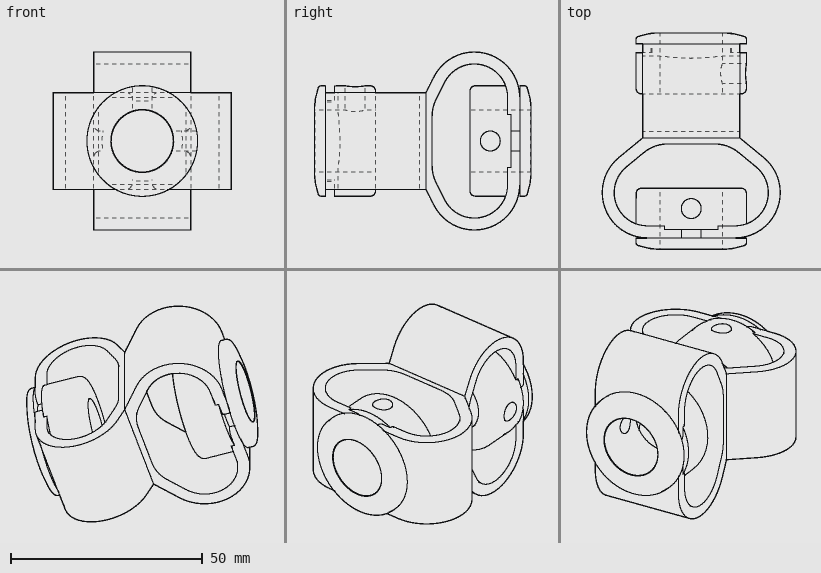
import cadquery as cq
import math

STRAP_WIDTH = 25.3
WALL = 3.175
WEB_HALF = 1.63
LOOP_HALF_SPAN = 23.24
LOBE_RADIUS = 11.84
LOBE_OFFSET = LOOP_HALF_SPAN - LOBE_RADIUS
LONG_LOOP_REACH = 26.14
SHORT_LOOP_REACH = 24.46
WEB_FILLET = 9.8

SEAT_DEPTH = 0.9
MOUTH_HALF_WIDTH = 2.56
MOUTH_FILLET = 1.77

BUSH_RADIUS = 14.43
BODY_LENGTH = 10.75
BODY_FILLET = 1.46
NECK_RADIUS = 10.5
BORE_RADIUS = 8.1
BORE_CHAMFER = 0.12
FLANGE_THICKNESS = 2.93
FLANGE_SLOPE = math.radians(15)
FLANGE_FLAT_RADIUS = 9.07
FLANGE_CREST_RADIUS = 11.5
FLANGE_EDGE_FILLET = 0.8
SCREW_HOLE_DIAMETER = 5.2
SCREW_HOLE_FROM_FLANGE = 7.69

CUT_MARGIN = 1.0
SELECT_MARGIN = 0.01


def slant_normal(corner_x, corner_y, lobe_y, radius):
    """Angle from +X of the outward normal of the slant tangent to the lobe."""
    dx = corner_x - LOBE_OFFSET
    dy = corner_y - lobe_y
    return math.atan2(dy, dx) - math.acos(radius / math.hypot(dx, dy))


def lobe_prism(corner_x, corner_y, lobe_y, radius):
    """Prism across the strap: web flat, tangent slants, round lobes and outer flat."""
    normal = slant_normal(corner_x, corner_y, lobe_y, radius)
    tangent_x = LOBE_OFFSET + radius * math.cos(normal)
    tangent_y = lobe_y + radius * math.sin(normal)
    flat_y = lobe_y - radius
    middle = (normal - math.pi / 2) / 2
    middle_x = LOBE_OFFSET + radius * math.cos(middle)
    middle_y = lobe_y + radius * math.sin(middle)
    return (
        cq.Workplane("XY")
        .workplane(offset=-STRAP_WIDTH / 2)
        .moveTo(-corner_x, corner_y)
        .lineTo(corner_x, corner_y)
        .lineTo(tangent_x, tangent_y)
        .threePointArc((middle_x, middle_y), (LOBE_OFFSET, flat_y))
        .lineTo(-LOBE_OFFSET, flat_y)
        .threePointArc((-middle_x, middle_y), (-tangent_x, tangent_y))
        .close()
        .extrude(STRAP_WIDTH)
    )


def inner_corner_x(lobe_y):
    """Half width of the web's inner flat, where the offset slants meet it."""
    corner_x = STRAP_WIDTH / 2
    normal = slant_normal(corner_x, 0, lobe_y, LOBE_RADIUS)
    return corner_x + (WEB_HALF * math.sin(normal) - WALL) / math.cos(normal)


def y_cylinder(radius, y_start, y_end):
    """Cylinder on the Y axis, running from y_start down to y_end."""
    return cq.Workplane("XZ").workplane(offset=-y_start).circle(radius).extrude(y_start - y_end)


def strap_loop(reach):
    """Bent strap on the -Y side, with the bushing seat and the edge gaps in its outer wall."""
    lobe_y = LOBE_RADIUS - reach
    outer = lobe_prism(STRAP_WIDTH / 2, 0, lobe_y, LOBE_RADIUS)
    inner = lobe_prism(inner_corner_x(lobe_y), -WEB_HALF, lobe_y, LOBE_RADIUS - WALL)
    inner = inner.edges("|Z and >Y").fillet(WEB_FILLET)
    loop = outer.cut(inner)

    wall_inside = WALL - reach
    loop = loop.cut(y_cylinder(BUSH_RADIUS, wall_inside, wall_inside - SEAT_DEPTH))
    gap = cq.Workplane("XY").box(2 * MOUTH_HALF_WIDTH, 2 * WALL, STRAP_WIDTH)
    loop = loop.cut(y_cylinder(NECK_RADIUS, wall_inside, -reach))
    loop = loop.cut(gap.translate((0, -reach, 0)))
    near_mouth = cq.selectors.BoxSelector(
        (-MOUTH_HALF_WIDTH - SELECT_MARGIN, -reach, -STRAP_WIDTH),
        (MOUTH_HALF_WIDTH + SELECT_MARGIN, wall_inside, STRAP_WIDTH),
    )
    mouth_edges = loop.edges(near_mouth).edges("|Y").edges("<Z or >Z")
    return mouth_edges.fillet(MOUTH_FILLET)


def flange(reach):
    """Domed disc: flat ring, rounded crest, sloping face and rounded rim."""
    face = reach + FLANGE_THICKNESS
    crest_run = FLANGE_CREST_RADIUS - FLANGE_FLAT_RADIUS
    crest_radius = crest_run / math.sin(FLANGE_SLOPE)
    half_slope = FLANGE_SLOPE / 2
    crest_middle = (
        FLANGE_FLAT_RADIUS + crest_radius * math.sin(half_slope),
        crest_radius * (1 - math.cos(half_slope)) - face,
    )
    crest_end_y = crest_radius * (1 - math.cos(FLANGE_SLOPE)) - face
    rim_y = crest_end_y + (BUSH_RADIUS - FLANGE_CREST_RADIUS) * math.tan(FLANGE_SLOPE)
    disc = (
        cq.Workplane("XY")
        .moveTo(0, -reach)
        .lineTo(0, -face)
        .lineTo(FLANGE_FLAT_RADIUS, -face)
        .threePointArc(crest_middle, (FLANGE_CREST_RADIUS, crest_end_y))
        .lineTo(BUSH_RADIUS, rim_y)
        .lineTo(BUSH_RADIUS, -reach)
        .close()
        .revolve(360, (0, 0, 0), (0, 1, 0))
    )
    rim = cq.selectors.BoxSelector(
        (-2 * BUSH_RADIUS, rim_y - SELECT_MARGIN, -2 * BUSH_RADIUS),
        (2 * BUSH_RADIUS, rim_y + SELECT_MARGIN, 2 * BUSH_RADIUS),
        boundingbox=True,
    )
    return disc.edges(rim).fillet(FLANGE_EDGE_FILLET)


def seat_level(reach):
    """Y of the recess floor that the bushing body rests on."""
    return WALL - SEAT_DEPTH - reach


def bushing(reach):
    """Flanged bushing on the Y axis, before boring."""
    seat_y = seat_level(reach)
    body = y_cylinder(BUSH_RADIUS, seat_y + BODY_LENGTH, seat_y)
    body = body.faces(">Y").edges().fillet(BODY_FILLET)
    neck = y_cylinder(NECK_RADIUS, seat_y, -reach)
    return body.union(neck).union(flange(reach))


def bore_cutter(reach):
    """Through bore with a small chamfer at the flange face."""
    face_y = -reach - FLANGE_THICKNESS
    bore = y_cylinder(BORE_RADIUS, seat_level(reach) + BODY_LENGTH, face_y)
    chamfer = cq.Solid.makeCone(
        BORE_RADIUS + BORE_CHAMFER,
        BORE_RADIUS,
        BORE_CHAMFER,
        cq.Vector(0, face_y, 0),
        cq.Vector(0, 1, 0),
    )
    return bore.union(cq.Workplane(chamfer))


def loop_with_bushing(reach):
    """Loop on the -Y side of the joint plane, with its bushing."""
    assembly = strap_loop(reach).union(bushing(reach))
    screw_hole = (
        cq.Workplane("XY")
        .center(0, SCREW_HOLE_FROM_FLANGE - reach)
        .circle(SCREW_HOLE_DIAMETER / 2)
        .extrude(BUSH_RADIUS + CUT_MARGIN)
    )
    return assembly.cut(bore_cutter(reach)).cut(screw_hole)


long_side = loop_with_bushing(LONG_LOOP_REACH)
short_side = (
    loop_with_bushing(SHORT_LOOP_REACH)
    .rotate((0, 0, 0), (0, 0, 1), 180)
    .rotate((0, 0, 0), (0, 1, 0), 90)
)

result = long_side.union(short_side)